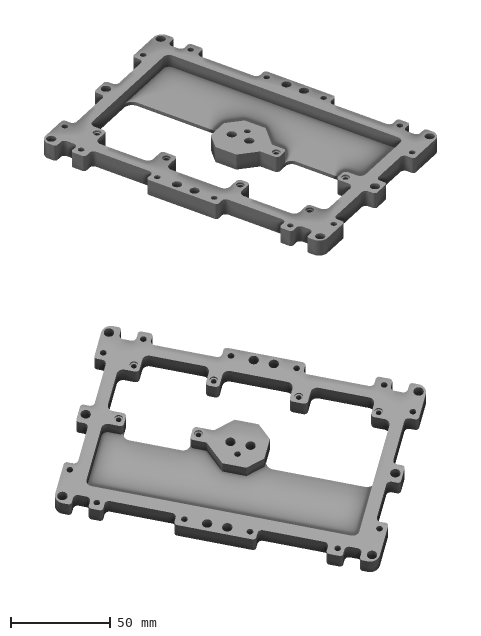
import cadquery as cq

LENGTH = 168.2
WIDTH = 112.3
HEIGHT = 9.2
CORNER_RADIUS = 5.0
TAB_RADIUS = 1.7

NOTCH_DEPTH = 6.7
NOTCH_RADIUS = 2.4
NOTCH_X_RANGES = ((-74.7, -65.9), (-57.3, -20.9), (21.5, 58.3), (65.9, 74.7))
NOTCH_Y_RANGES = ((-34.6, -5.5), (5.5, 31.0))

OPENING_LENGTH = 141.2
OPENING_WIDTH = 85.0
ROOT_RADIUS = 3.4
TIP_RADIUS = 2.0
POST_TIP_Y = -31.3
CORNER_POST_X = 60.0
LEFT_POST_X = (-27.2, -17.8)
RIGHT_POST_X = (18.5, 25.5)
ARM_Y = (-5.0, 3.2)

HUB_HALF_WIDTH = 13.8
HUB_HALF_FLAT = 6.2
ARM_ROOT_RADIUS = 1.7

FLOOR_THICKNESS = 2.0
LEFT_WINDOW_TOP = 6.7
LEFT_WINDOW_RADIUS = 4.7
RIGHT_WINDOW_TOP = 5.7
RIGHT_WINDOW_RADIUS = 3.7

LARGE_HOLE = 5.2
SMALL_HOLE = 3.4
EDGE_HOLE_Y = 51.8
END_HOLE_X = 80.2
HUB_HOLE_X = 5.2
HUB_PIN_Y = 6.5
TAB_HOLE_X = (17.0, 62.4)
REAR_END_HOLE_Y = 35.1
FRONT_END_HOLE_Y = -39.0

POST_HOLE = 2.9
POST_BORE = 4.4
POST_BORE_DEPTH = 1.0
POST_HOLE_X = (22.0, 63.4)
POST_HOLE_Y = -35.1
ARM_HOLE_Y = -1.2

HALF_LENGTH = LENGTH / 2
HALF_WIDTH = WIDTH / 2
OPENING_X = OPENING_LENGTH / 2
OPENING_Y = OPENING_WIDTH / 2


def block(x_range, y_range, height=HEIGHT):
    """Upright block over an X and Y range, standing on Z = 0."""
    x_min, x_max = x_range
    y_min, y_max = y_range
    solid = cq.Workplane("XY").box(x_max - x_min, y_max - y_min, height, centered=False)
    return solid.translate((x_min, y_min, 0))


def outer_plate():
    """Block with rounded corners; edge notches are mirrored onto the opposite edge."""
    plate = block((-HALF_LENGTH, HALF_LENGTH), (-HALF_WIDTH, HALF_WIDTH))
    for x_range in NOTCH_X_RANGES:
        notch = block(x_range, (HALF_WIDTH - NOTCH_DEPTH, HALF_WIDTH))
        notch = notch.edges("|Z and <Y").fillet(NOTCH_RADIUS)
        plate = plate.cut(notch).cut(notch.mirror("XZ"))
    for y_range in NOTCH_Y_RANGES:
        notch = block((HALF_LENGTH - NOTCH_DEPTH, HALF_LENGTH), y_range)
        notch = notch.edges("|Z and <X").fillet(NOTCH_RADIUS)
        plate = plate.cut(notch).cut(notch.mirror("YZ"))
    corners = "((>X or <X) and (>Y or <Y))"
    rim = "(>X or <X or >Y or <Y)"
    plate = plate.edges(f"|Z and {rim} and (not {corners})").fillet(TAB_RADIUS)
    return plate.edges(f"|Z and {corners}").fillet(CORNER_RADIUS)


def inner_opening():
    """Rectangular opening less the posts, with rounded post roots and tips."""
    opening = block((-OPENING_X, OPENING_X), (-OPENING_Y, OPENING_Y))
    post_y = (-OPENING_Y, POST_TIP_Y)
    left_corner_x = (-OPENING_X, -CORNER_POST_X)
    right_corner_x = (CORNER_POST_X, OPENING_X)
    for x_range in (left_corner_x, LEFT_POST_X, RIGHT_POST_X, right_corner_x):
        opening = opening.cut(block(x_range, post_y))
    opening = opening.cut(block(right_corner_x, ARM_Y))
    walls = ">X or <X or >Y or <Y"
    opening = opening.edges(f"|Z and (not ({walls}))").fillet(TIP_RADIUS)
    return opening.edges(f"|Z and ({walls})").fillet(ROOT_RADIUS)


def floor():
    """Thin sheet behind the hub centre line, opened by the two windows."""
    front, rear = 0.0, OPENING_Y
    plate = block((-OPENING_X, OPENING_X), (front, rear), FLOOR_THICKNESS)
    windows = (
        (-OPENING_X, -HUB_HALF_WIDTH, LEFT_WINDOW_TOP, LEFT_WINDOW_RADIUS),
        (RIGHT_POST_X[1], CORNER_POST_X, RIGHT_WINDOW_TOP, RIGHT_WINDOW_RADIUS),
    )
    for x_min, x_max, top, radius in windows:
        window = block((x_min, x_max), (front, top), FLOOR_THICKNESS)
        plate = plate.cut(window.edges("|Z and >Y").fillet(radius))
    return plate


def hub():
    """Octagon whose +X side runs out into the arm."""
    side, flat = HUB_HALF_WIDTH, HUB_HALF_FLAT
    arm_end = RIGHT_POST_X[1]
    arm_front, arm_rear = ARM_Y
    slope = side + flat
    outline = [
        (-flat, -side),
        (flat, -side),
        (slope + arm_front, arm_front),
        (arm_end, arm_front),
        (arm_end, arm_rear),
        (slope - arm_rear, arm_rear),
        (flat, side),
        (-flat, side),
        (-side, flat),
        (-side, -flat),
    ]
    body = cq.Workplane("XY").polyline(outline).close().extrude(HEIGHT)
    body = body.edges("|Z and >X").fillet(TIP_RADIUS)
    arm_root = cq.NearestToPointSelector((slope + arm_front, arm_front, HEIGHT / 2))
    return body.edges("|Z").edges(arm_root).fillet(ARM_ROOT_RADIUS)


def mirrored_x(x, y):
    """A point and its mirror image at the opposite X."""
    return [(-x, y), (x, y)]


def drill(body, diameter, points):
    top = body.faces(">Z").workplane(origin=(0, 0, HEIGHT))
    return top.pushPoints(points).hole(diameter)


def large_hole_points():
    points = mirrored_x(END_HOLE_X, 0) + mirrored_x(HUB_HOLE_X, 0)
    for y in (-EDGE_HOLE_Y, EDGE_HOLE_Y):
        points += mirrored_x(END_HOLE_X, y) + mirrored_x(HUB_HOLE_X, y)
    return points


def small_hole_points():
    points = [(0, HUB_PIN_Y)]
    for y in (REAR_END_HOLE_Y, FRONT_END_HOLE_Y):
        points += mirrored_x(END_HOLE_X, y)
    for y in (-EDGE_HOLE_Y, EDGE_HOLE_Y):
        for x in TAB_HOLE_X:
            points += mirrored_x(x, y)
    return points


def post_hole_points():
    points = []
    for x in POST_HOLE_X:
        points += mirrored_x(x, POST_HOLE_Y) + [(x, ARM_HOLE_Y)]
    return points


result = outer_plate().cut(inner_opening()).union(floor()).union(hub())
result = drill(result, LARGE_HOLE, large_hole_points())
result = drill(result, SMALL_HOLE, small_hole_points())
result = (
    result.faces(">Z")
    .workplane(origin=(0, 0, HEIGHT))
    .pushPoints(post_hole_points())
    .cboreHole(POST_HOLE, POST_BORE, POST_BORE_DEPTH)
)